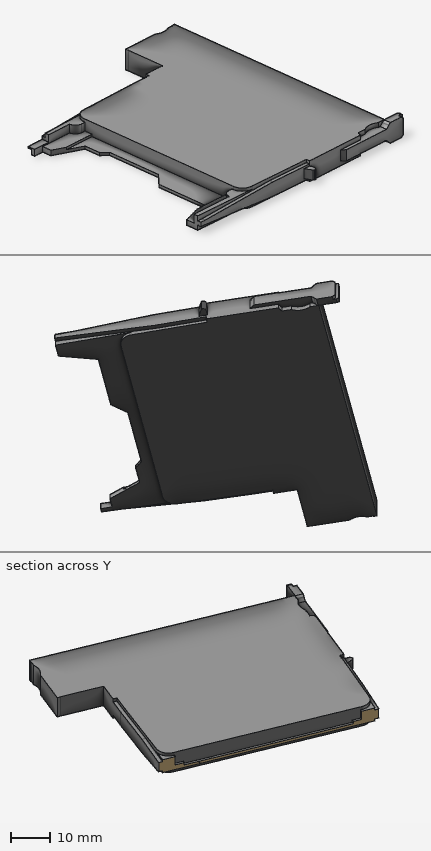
import cadquery as cq

thickness = 6.0
skin = 0.9
core_bottom = skin
core_top = thickness - skin
mid_height = thickness / 2

body_top = 68.5
body_bottom = 16.4
body_right = 74.7
shoulder_y = 50.45
left_wall = 12.85
upper_right = 73.45
latch_step_y = 58.3
latch_step_height = 0.6
corner_radius = 3.4
lip_width = 0.9
lip_height = 0.1

draft_y = 39.5
wall_lean = 0.7
ledge_width = 1.1
left_ledge_top = 44.3
right_wall = 74.6
right_ledge_top = draft_y
mid_x = (left_wall + right_wall) / 2

left_leg_inner = 15.8
right_leg_inner = 71.5
web_radius = 2.15
web_y = 13.0
ramp_start = 26.15
ramp_slope = 0.058
left_tip_length = 5.2
left_tip_top = 2.9
right_ramp_end = 1.5
foot_clearance = 0.8

floor_top = 1.85
pad_top = 2.5
left_foot_x = 18.6
left_foot_y = 3.0
left_edge_y = 11.5
left_edge_start = 22.5
left_edge_end = 27.6
middle_edge_y = 13.4
middle_edge_start = 29.4
middle_edge_end = 46.5
right_edge_y = 9.7
right_edge_start = 50.1
right_edge_end = 65.85
right_foot_x = 69.0
left_pad_edge = 20.4
right_pad_edge = 67.1

notch_y = 63.85
notch_half_chord = 2.45
notch_depth = 0.7
land_bottom = 67.6
land_step = 0.15

latch_half_height = 1.6
latch_root = upper_right - 2 * notch_depth
latch_outer = 75.7
latch_end = 73.9
latch_outer_end = 73.15
latch_lower_end = 50.9
latch_taper = 1.2
latch_tip_length = 0.6
latch_tip_drop = 0.2
latch_outer_drop = 0.6
head_bottom = 68.4
head_chamfer_depth = 0.6
head_chamfer_height = 0.5
head_curve_start = 66.9
head_curve_sag = 0.1

detent_tip = 76.9
detent_half_height = 1.45
detent_top = 39.85
detent_bottom = 37.6
detent_top_x = 76.4
detent_tip_top = 39.45
detent_tip_bottom = 38.9
detent_nose_x = 76.7
detent_nose_y = 38.6


def prism(points, bottom, top):
    """Upright prism over a closed plan outline."""
    return cq.Workplane("XY").workplane(offset=bottom).polyline(points).close().extrude(top - bottom)


def box(x0, x1, y0, y1, z0, z1):
    return cq.Workplane("XY").box(x1 - x0, y1 - y0, z1 - z0, centered=False).translate((x0, y0, z0))


def lean(y):
    """Inward shift of a side wall at distance y from the foot."""
    return wall_lean * (draft_y - y) / draft_y


def make_body():
    outline = [
        (0, body_top),
        (upper_right, body_top),
        (upper_right, latch_step_y + latch_step_height),
        (body_right, latch_step_y),
        (body_right, right_ledge_top),
        (right_wall, right_ledge_top),
        (right_wall - lean(body_bottom), body_bottom),
        (left_wall + lean(body_bottom), body_bottom),
        (left_wall, draft_y),
        (left_wall, shoulder_y),
        (lip_width, shoulder_y),
        (0, shoulder_y - lip_height),
        (0, notch_y),
        (land_step, notch_y),
        (land_step, land_bottom),
        (0, land_bottom),
    ]
    return prism(outline, 0, thickness)


def make_notch(edge_x, inward):
    """Cylinder cutting a shallow arc into a vertical edge; inward is +1 or -1 along X."""
    radius = (notch_half_chord**2 + notch_depth**2) / (2 * notch_depth)
    centre_x = edge_x + inward * (notch_depth - radius)
    return cq.Workplane("XY").center(centre_x, notch_y).circle(radius).extrude(thickness)


def make_skin_trim():
    """What lies outside the narrower top and bottom skins, which have rounded lower corners."""
    core = box(0, detent_tip, 0, latch_end, core_bottom, core_top)
    left = left_wall + ledge_width
    right = right_wall - ledge_width
    skin_outline = [
        (left, left_ledge_top),
        (left, draft_y),
        (left + lean(body_bottom), body_bottom),
        (right - lean(body_bottom), body_bottom),
        (right, right_ledge_top),
    ]
    upper = box(left, right, right_ledge_top, left_ledge_top, 0, thickness)
    kept = prism(skin_outline, 0, thickness).edges("|Z and <Y").fillet(corner_radius).union(upper)
    left_side = box(0, mid_x, 0, left_ledge_top, 0, thickness)
    right_side = box(mid_x, detent_tip, 0, right_ledge_top, 0, thickness)
    return left_side.union(right_side).cut(kept).cut(core)


def make_leg(wall_x, inner_x, inward):
    """Side wall carried down to the foot, with a rounded web in the corner under the body."""
    wall = prism(
        [
            (wall_x, draft_y),
            (wall_x + inward * lean(0), 0),
            (inner_x, 0),
            (inner_x, draft_y),
        ],
        core_bottom,
        core_top,
    )
    web_x = inner_x + inward * web_radius
    web = (
        cq.Workplane("XY")
        .workplane(offset=core_bottom)
        .moveTo(inner_x, web_y)
        .radiusArc((web_x, web_y + web_radius), -inward * web_radius)
        .lineTo(web_x, body_bottom)
        .lineTo(inner_x, body_bottom)
        .close()
        .extrude(core_top - core_bottom)
    )
    return wall.union(web)


def make_left_leg():
    above_tip = box(0, left_leg_inner, 0, left_tip_length, left_tip_top, thickness)
    return make_leg(left_wall, left_leg_inner, 1).cut(above_tip)


def make_right_leg():
    return make_leg(right_wall, right_leg_inner, -1)


def make_ramps(ramp_end, wall_x, outside_x, inward):
    """Wedges that thin the outer ledge of one side wall towards the foot, above and below."""
    depth = ramp_slope * (ramp_start - ramp_end)
    profile = [
        (ramp_start, core_top),
        (ramp_end, core_top - depth),
        (-foot_clearance, core_top - depth),
        (-foot_clearance, core_top),
    ]
    ledge_x = wall_x + inward * ledge_width
    ledge = [
        (outside_x, draft_y),
        (ledge_x, draft_y),
        (ledge_x + inward * lean(0), 0),
        (outside_x, 0),
    ]
    wedge = cq.Workplane("YZ").polyline(profile).close().extrude(detent_tip)
    upper = wedge.intersect(prism(ledge, 0, thickness))
    lower = upper.mirror("XY", (0, 0, mid_height))
    return upper.union(lower)


def make_floor():
    outline = [
        (left_leg_inner, body_bottom),
        (left_leg_inner, left_foot_y),
        (left_foot_x, left_foot_y),
        (left_edge_start, left_edge_y),
        (left_edge_end, left_edge_y),
        (middle_edge_start, middle_edge_y),
        (middle_edge_end, middle_edge_y),
        (right_edge_start, right_edge_y),
        (right_edge_end, right_edge_y),
        (right_foot_x, 0),
        (right_leg_inner, 0),
        (right_leg_inner, body_bottom),
    ]
    plate = prism(outline, core_bottom, pad_top)
    recess = box(left_pad_edge, right_pad_edge, 0, body_bottom, floor_top, pad_top)
    return plate.cut(recess)


def make_latch_strip(x0, x1, end, drop):
    """Upper half of the latch head as a side profile, mirrored to the lower half."""
    arm_top = mid_height + latch_half_height
    curve_end = head_bottom - head_chamfer_depth
    curve_top = thickness - head_chamfer_height
    bend = ((head_curve_start + curve_end) / 2, (arm_top + curve_top) / 2 - head_curve_sag)
    upper = (
        cq.Workplane("YZ")
        .workplane(offset=x0)
        .moveTo(head_curve_start, mid_height)
        .lineTo(head_curve_start, arm_top)
        .threePointArc(bend, (curve_end, curve_top))
        .lineTo(head_bottom, thickness)
        .lineTo(end - latch_tip_length, thickness)
        .lineTo(end, thickness - drop)
        .lineTo(end, mid_height)
        .close()
        .extrude(x1 - x0)
    )
    return upper.union(upper.mirror("XY", (0, 0, mid_height)))


def make_latch():
    arm = prism(
        [
            (latch_root, head_curve_start),
            (latch_outer, head_curve_start),
            (latch_outer, latch_lower_end + latch_taper),
            (body_right, latch_lower_end),
            (latch_root, latch_lower_end),
        ],
        mid_height - latch_half_height,
        mid_height + latch_half_height,
    )
    inner = make_latch_strip(upper_right, body_right, latch_end, latch_tip_drop)
    outer = make_latch_strip(body_right, latch_outer, latch_outer_end, latch_outer_drop)
    return arm.union(inner).union(outer)


def make_detent():
    outline = [
        (upper_right, detent_top),
        (detent_top_x, detent_top),
        (detent_tip, detent_tip_top),
        (detent_tip, detent_tip_bottom),
        (detent_nose_x, detent_nose_y),
        (right_wall - lean(detent_bottom), detent_bottom),
        (upper_right, detent_bottom),
    ]
    return prism(outline, mid_height - detent_half_height, mid_height + detent_half_height)


result = (
    make_body()
    .cut(make_notch(0, 1))
    .cut(make_notch(upper_right, -1))
    .cut(make_skin_trim())
    .union(make_left_leg())
    .union(make_right_leg())
    .union(make_floor())
    .cut(make_ramps(0, left_wall, 0, 1))
    .cut(make_ramps(right_ramp_end, right_wall, detent_tip, -1))
    .union(make_latch())
    .union(make_detent())
)